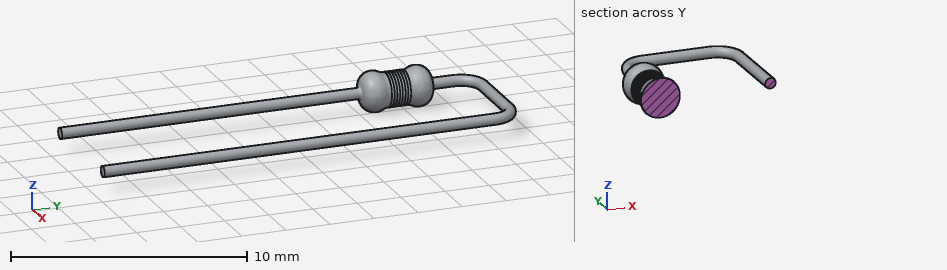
import cadquery as cq

overall_length = 19.05
bulb_diameter = 1.8
wire_diameter = 0.5
overall_width = 6.15
bend_radius = 1.0

wire_radius = wire_diameter / 2
bulb_radius = bulb_diameter / 2
lead_spacing = overall_width - bulb_radius - wire_radius
top_y = overall_length - wire_radius

body_center_y = 15.2
waist_radius = 1.52 / 2
band_radius = 1.55 / 2
band_pitch = 0.25
band_width = band_pitch / 2
band_count = 4

waist_half_length = (band_count - 1) * band_pitch / 2 + band_width / 2
shoulder_inflection = 0.72
bulb_crest = 0.95
dome_start = 1.01
dome_end = 1.58
dome_end_radius = 0.4
body_half_length = 1.73


def make_wire():
    """Round lead bent into a U with two quarter-circle corners."""
    path = (
        cq.Workplane("XY")
        .lineTo(0, top_y - bend_radius)
        .tangentArcPoint((bend_radius, bend_radius))
        .lineTo(lead_spacing - bend_radius, top_y)
        .tangentArcPoint((bend_radius, -bend_radius))
        .lineTo(lead_spacing, 0)
    )
    return cq.Workplane("XZ").circle(wire_radius).sweep(path)


def make_half_body():
    """Upper half of the body: waist, shoulder, domed bulb and flare to the wire."""
    shoulder_fraction = (shoulder_inflection - waist_half_length) / (bulb_crest - waist_half_length)
    inflection_radius = waist_radius + shoulder_fraction * (bulb_radius - waist_radius)
    profile = (
        cq.Workplane("XY")
        .lineTo(waist_radius, 0)
        .lineTo(waist_radius, waist_half_length)
        .tangentArcPoint((inflection_radius, shoulder_inflection), relative=False)
        .tangentArcPoint((bulb_radius, bulb_crest), relative=False)
        .lineTo(bulb_radius, dome_start)
        .tangentArcPoint((dome_end_radius, dome_end), relative=False)
        .radiusArc((wire_radius, body_half_length), dome_end_radius - wire_radius)
        .lineTo(0, body_half_length)
        .close()
    )
    return profile.revolve(360, (0, 0, 0), (0, 1, 0))


def make_band(center_y):
    """Slightly raised colour band around the waist."""
    plane = cq.Workplane("XZ", origin=(0, center_y, 0))
    return plane.circle(band_radius).extrude(band_width / 2, both=True)


half_body = make_half_body()
body = half_body.union(half_body.mirror("XZ"))
for index in range(band_count):
    body = body.union(make_band((index - (band_count - 1) / 2) * band_pitch))

result = make_wire().union(body.translate((0, body_center_y, 0)))